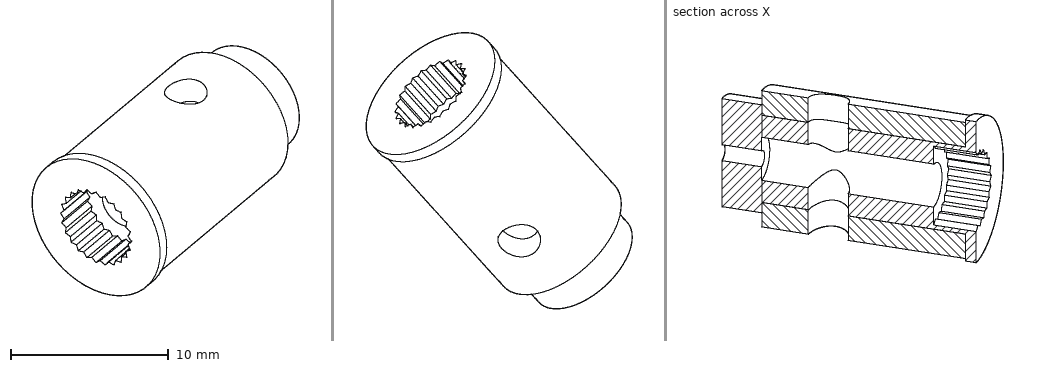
import cadquery as cq
import math


total_length = 17.21
flange_thickness = 0.74
cap_length = 2.68
spline_depth = 2.87
cross_hole_y = 10.02
sleeve_end_y = total_length - cap_length

flange_diameter = 9.88
sleeve_diameter = 9.53
core_diameter = 6.13
cap_diameter = 7.57
screw_hole_diameter = 2.98
cap_hole_diameter = 1.08
cross_hole_diameter = 2.7

tooth_count = 24
spline_root_radius = 2.74
spline_tip_radius = 2.48


def cylinder(diameter, start_y, end_y):
    """Solid cylinder on the Y axis between two Y positions."""
    return (
        cq.Workplane("XZ", origin=(0, start_y, 0))
        .circle(diameter / 2)
        .extrude(start_y - end_y)
    )


def polar_point(radius, angle):
    return (radius * math.cos(angle), radius * math.sin(angle))


def spline_socket():
    """Star-shaped prism with V grooves, one of them pointing straight up."""
    pitch = 2 * math.pi / tooth_count
    outline = []
    for tooth in range(tooth_count):
        groove_angle = math.pi / 2 + tooth * pitch
        outline.append(polar_point(spline_root_radius, groove_angle))
        outline.append(polar_point(spline_tip_radius, groove_angle + pitch / 2))
    return cq.Workplane("XZ").polyline(outline).close().extrude(-spline_depth)


def cross_hole():
    """Vertical cylinder that pierces the sleeve and the hub core from side to side."""
    return (
        cq.Workplane("XY", origin=(0, cross_hole_y, 0))
        .circle(cross_hole_diameter / 2)
        .extrude(sleeve_diameter, both=True)
    )


def make_hub():
    """Flange and core, with the spline socket, a screw hole and the cross hole."""
    flange = cylinder(flange_diameter, 0, flange_thickness)
    core = cylinder(core_diameter, 0, sleeve_end_y)
    screw_hole = cylinder(screw_hole_diameter, 0, sleeve_end_y)
    return flange.union(core).cut(spline_socket()).cut(screw_hole).cut(cross_hole())


def make_sleeve():
    """Tube around the hub core, from the flange to the cap."""
    tube = cylinder(sleeve_diameter, flange_thickness, sleeve_end_y)
    bore = cylinder(core_diameter, flange_thickness, sleeve_end_y)
    return tube.cut(bore).cut(cross_hole())


def make_cap():
    """Round end cap with a small hole through its centre."""
    disc = cylinder(cap_diameter, sleeve_end_y, total_length)
    return disc.cut(cylinder(cap_hole_diameter, sleeve_end_y, total_length))


hub = make_hub()
sleeve = make_sleeve()
cap = make_cap()

result = cq.Compound.makeCompound([hub.val(), sleeve.val(), cap.val()])